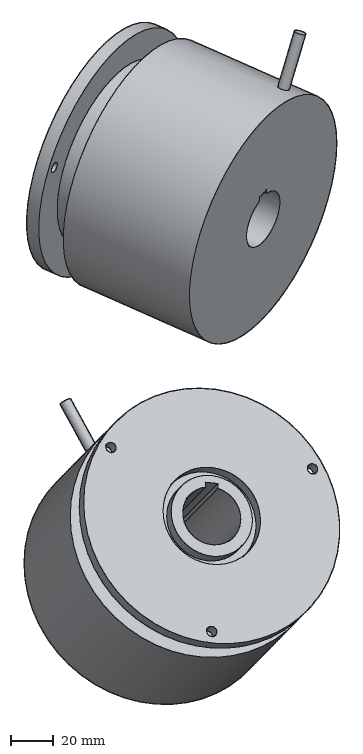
import cadquery as cq

total_length = 91.44
flange_thickness = 6.9
neck_length = 13.7

outer_diameter = 126.24
neck_diameter = 94.7

bore_diameter = 28.575
keyway_width = 6.0
keyway_top_height = 16.4

hub_diameter = 40.0
clearance_diameter = 48.0
clearance_depth = flange_thickness

flange_hole_count = 3
flange_hole_diameter = 5.0
flange_hole_circle_radius = 57.4
first_hole_angle = -90.0

pin_diameter = 5.7
pin_x = 82.2
pin_tilt = 30.0
pin_tip_radius = 91.46
pin_embedment = 5.0


def disc(start_x, length, diameter):
    """Solid cylinder along the X axis."""
    return cq.Workplane("YZ", origin=(start_x, 0, 0)).circle(diameter / 2).extrude(length)


def make_body():
    """Flange, neck and drum on one axis."""
    drum_start = flange_thickness + neck_length
    flange = disc(0, flange_thickness, outer_diameter)
    neck = disc(flange_thickness, neck_length, neck_diameter)
    drum = disc(drum_start, total_length - drum_start, outer_diameter)
    return flange.union(neck).union(drum)


def make_bore():
    """Through bore with a keyway on its +Z side."""
    keyway = cq.Workplane("XY").box(
        total_length, keyway_width, keyway_top_height, centered=(False, True, False)
    )
    return disc(0, total_length, bore_diameter).union(keyway)


def make_hub_clearance():
    """Ring-shaped gap around the hub, open on the flange face."""
    outer = disc(0, clearance_depth, clearance_diameter)
    return outer.cut(disc(0, clearance_depth, hub_diameter))


def make_flange_holes():
    """Evenly spaced holes through the flange."""
    return (
        cq.Workplane("YZ")
        .polarArray(flange_hole_circle_radius, first_hole_angle, 360, flange_hole_count)
        .circle(flange_hole_diameter / 2)
        .extrude(flange_thickness)
    )


def make_pin():
    """Radial pin standing out of the drum."""
    root_radius = outer_diameter / 2 - pin_embedment
    upright_pin = (
        cq.Workplane("XY", origin=(pin_x, 0, root_radius))
        .circle(pin_diameter / 2)
        .extrude(pin_tip_radius - root_radius)
    )
    return upright_pin.rotate((0, 0, 0), (1, 0, 0), -pin_tilt)


result = (
    make_body()
    .cut(make_bore())
    .cut(make_hub_clearance())
    .cut(make_flange_holes())
    .union(make_pin())
)